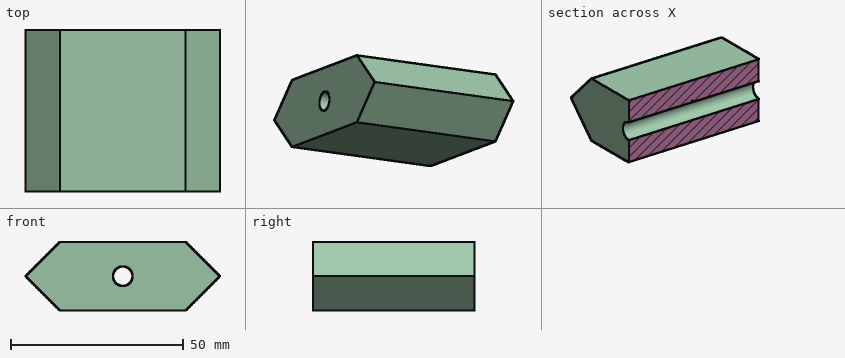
import cadquery as cq

width = 56.5
length = 47.0
height = 20.0
flat_width = 36.5
hole_diameter = 5.6

half_width = width / 2
half_height = height / 2
half_flat = flat_width / 2


def hexagonal_body():
    """Flattened hexagonal prism along Y, centred on the origin."""
    outline = [
        (-half_width, 0),
        (-half_flat, half_height),
        (half_flat, half_height),
        (half_width, 0),
        (half_flat, -half_height),
        (-half_flat, -half_height),
    ]
    return cq.Workplane("XZ").polyline(outline).close().extrude(length / 2, both=True)


def centre_hole():
    """Cylinder along Y that spans the whole body."""
    return cq.Workplane("XZ").circle(hole_diameter / 2).extrude(length / 2, both=True)


result = hexagonal_body().cut(centre_hole())